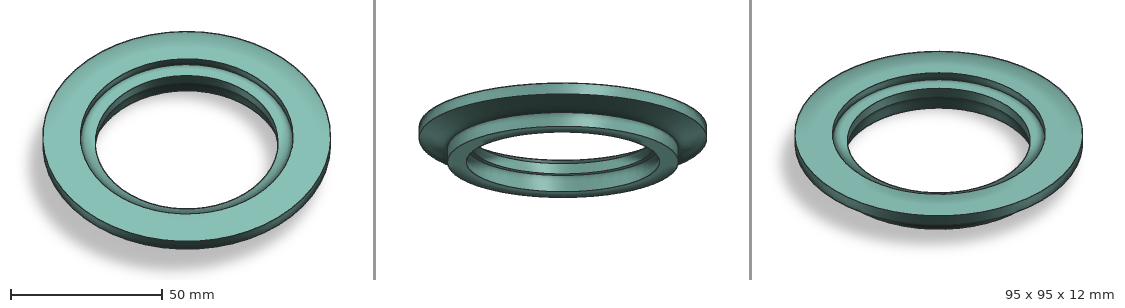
import cadquery as cq
import math

flange_diameter = 95.0
hub_diameter = 76.2
recess_diameter = 70.21
bore_diameter = 60.33
socket_diameter = 63.75
total_height = 11.99
rim_thickness = 3.8
cone_angle = 20.0
recess_depth = 2.8
socket_depth = 5.64

rim_bottom = total_height - rim_thickness
cone_drop = (flange_diameter - hub_diameter) / 2 * math.tan(math.radians(cone_angle))
hub_top = rim_bottom - cone_drop
recess_floor = total_height - recess_depth


def flange_body():
    """Solid of revolution: hub, conical clamping face and flat rim."""
    outline = [
        (0, 0),
        (hub_diameter / 2, 0),
        (hub_diameter / 2, hub_top),
        (flange_diameter / 2, rim_bottom),
        (flange_diameter / 2, total_height),
        (0, total_height),
    ]
    return cq.Workplane("XZ").polyline(outline).close().revolve(360, (0, 0), (0, 1))


def round_cut(diameter, bottom, height):
    """Cylinder on the Z axis, used to cut a round opening."""
    return cq.Workplane("XY").workplane(offset=bottom).circle(diameter / 2).extrude(height)


bore = round_cut(bore_diameter, 0, total_height)
seal_recess = round_cut(recess_diameter, recess_floor, recess_depth)
tube_socket = round_cut(socket_diameter, 0, socket_depth)

result = flange_body().cut(bore).cut(seal_recess).cut(tube_socket)